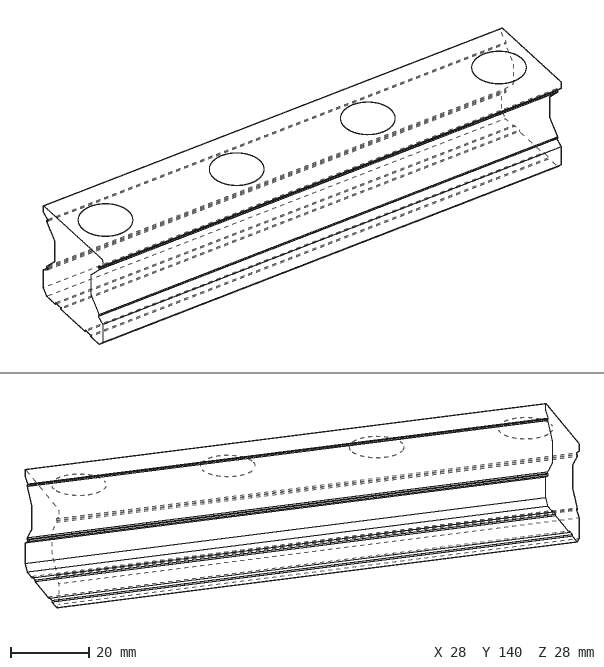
import cadquery as cq

length = 140.0
width = 28.0
height = 28.0
half_width = width / 2

head_fillet = 0.4
base_chamfer = 1.7
waist_half_width = 8.5
waist_fillet = 0.4
waist_mid_z = 16.7
waist_half_height = 3.2
flank_half_height = 9.2

notch_half_width = 11.9
lip_half_width = 12.3
notch_offset = 8.0
ledge_offset = 7.5
lip_offset = 7.1

groove_x = 7.0
groove_width = 2.5
groove_depth = 0.4

cap_count = 4
cap_pitch = 40.0
cap_diameter = 14.0
cap_recess = 0.07


def flank_points(side):
    """Outer-to-waist points of a right flank; side is +1 above the waist, -1 below it."""
    offsets = [
        (half_width, flank_half_height),
        (notch_half_width, notch_offset),
        (notch_half_width, ledge_offset),
        (lip_half_width, ledge_offset),
        (lip_half_width, lip_offset),
        (waist_half_width, waist_half_height),
    ]
    return [(x, waist_mid_z + side * dz) for x, dz in offsets]


def fillet_along_rail(body, x, z, radius):
    """Round the pair of lengthwise edges at (+x, z) and (-x, z)."""
    reach = 0.1
    for edge_x in (-x, x):
        box = cq.selectors.BoxSelector(
            (edge_x - reach, -length, z - reach),
            (edge_x + reach, length, z + reach),
        )
        body = body.edges("|Y").edges(box).fillet(radius)
    return body


def rail_body():
    right_side = [
        (half_width - base_chamfer, 0),
        (half_width, base_chamfer),
        *flank_points(-1),
        *reversed(flank_points(1)),
        (half_width, height),
    ]
    left_side = [(-x, z) for x, z in reversed(right_side)]
    profile = cq.Workplane("XZ").polyline(right_side + left_side).close()
    body = profile.extrude(length / 2, both=True)
    body = fillet_along_rail(body, half_width, height, head_fillet)
    body = fillet_along_rail(body, half_width, waist_mid_z + flank_half_height, head_fillet)
    for side in (-1, 1):
        waist_corner_z = waist_mid_z + side * waist_half_height
        body = fillet_along_rail(body, waist_half_width, waist_corner_z, waist_fillet)
    return body


def underside_grooves():
    return (
        cq.Workplane("XY")
        .pushPoints([(-groove_x, 0), (groove_x, 0)])
        .rect(groove_width, length)
        .extrude(groove_depth)
    )


def cap_recesses():
    return (
        cq.Workplane("XY", origin=(0, 0, height))
        .rarray(1.4, cap_pitch, 1, cap_count)
        .circle(cap_diameter / 2)
        .extrude(-cap_recess)
    )


result = rail_body().cut(underside_grooves()).cut(cap_recesses())